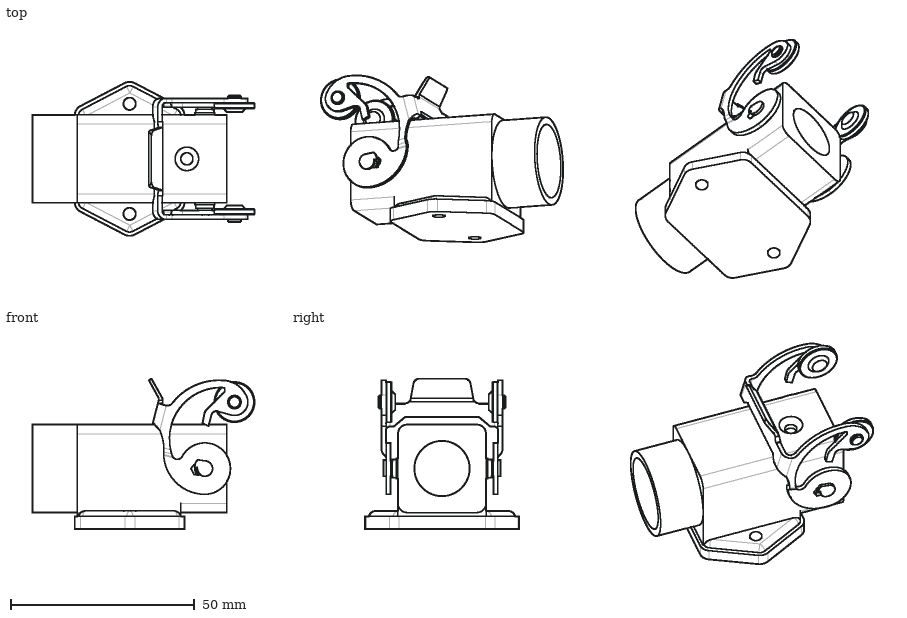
import cadquery as cq
import math


housing_width = 24.0
housing_left_x = -14.2
housing_right_x = 26.5
housing_top_z = 28.52
housing_corner_radius = 2.5
foot_right_x = 14.0
overhang_bottom_z = housing_top_z - housing_width

entry_z = housing_top_z - housing_width / 2
tube_left_x = -26.5
tube_bore_radius = 10.0
tube_bore_depth = 10.7
cable_hole_radius = 7.5

screw_x = 15.6
screw_radius = 1.65
screw_depth = 3.0
countersink_radius = 3.2

flange_half_length = 15.0
flange_half_width = 21.0
flange_corner_radius = 3.0
flange_slope = math.radians(27.5)
flange_height = 3.5
flange_hole_y = 15.0
flange_hole_radius = 1.65
rim_top_z = 5.0
rim_inset = 1.0
rim_round = 1.99
rim_bottom_z = 2.0

sheet = 1.25
lever_outer_y = 16.5
lever_middle_y = lever_outer_y - sheet
lever_inner_y = lever_middle_y - sheet
lever_tilt = math.radians(14.5)

pivot = (20.5, 16.5)
disc_radius = 7.0
cam_radius = 11.25
throat_radius = 1.5

arm_outer_centre = (24.4, 24.4)
arm_outer_radius = 16.2
arm_inner_centre = (24.85, 24.55)
arm_inner_radius = 14.0
finger_notch_radius = 0.45
finger_knee_radius = 2.5
finger_root_radius = 1.4

strip_height = 5.43
strip_depth = 2.4
strip_bend_radius = 2.3
strip_top = (7.68, 34.29)
strip_cut_drop = 1.6
strip_cut_z = 30.5
strip_cut_half_width = 10.1
strip_cut_slope = 1.18

tab_foot_half_width = 10.1
tab_root_half_width = 8.65
tab_root_height = 0.8
tab_top_half_width = 7.55
tab_corner_radius = 1.7
tab_overlap = 0.8
tab_bend_front = (7.87, 35.75)
tab_bend_back = (9.0, 35.6)
tab_tip_front = (5.25, 40.5)
tab_tip_back = (5.95, 41.02)

joggle_top_z = 21.55
joggle_right_x = 12.5
bend_angle = math.radians(45)
bend_inner_radius = 0.3
bend_outer_radius = bend_inner_radius + sheet

boss_radius = 2.75
boss_y = 12.5
collar_radius = 2.5
collar_y = 13.5
pin_radius = 2.1
pin_neck_radius = 2.0
pin_head_y = 16.0
pin_embed = 1.0

keyhole_reach = 3.8
keyhole_point_length = 0.9
keyhole_top = 1.1
keyhole_bottom = 1.7
lug_left = 2.8
lug_middle_left = 2.6
lug_middle_top = 1.45
lug_corner_left = 1.9
lug_bottom = 0.35
lug_top = 2.4

roller_centre = (28.57, 34.62)
roller_radius = 5.5
roller_inner_y = 13.65
roller_chamfer = 0.25
arm_tip_radius = 3.65
rivet_radius = 1.8
rivet_head_y = 17.3
rivet_chamfer = 0.35
rivet_cone_base_radius = 3.0
rivet_cone_tip_radius = 2.1
rivet_cone_y = 12.7


def polar(centre, radius, angle):
    """Point on a circle at an angle in radians."""
    return (centre[0] + radius * math.cos(angle), centre[1] + radius * math.sin(angle))


def direction(start, end):
    """Angle of the line from start to end."""
    return math.atan2(end[1] - start[1], end[0] - start[0])


def corner_arc(previous, corner, following, radius):
    """Start, middle and end of the arc that rounds a corner."""
    back = direction(corner, previous)
    ahead = direction(corner, following)
    half = abs(math.remainder(ahead - back, 2 * math.pi)) / 2
    setback = radius / math.tan(half)
    bisector = back + math.remainder(ahead - back, 2 * math.pi) / 2
    middle = polar(corner, radius / math.sin(half) - radius, bisector)
    return polar(corner, setback, back), middle, polar(corner, setback, ahead)


def add_corner(path, previous, corner, following, radius):
    """Extend the path to the rounded corner and then its arc."""
    start, middle, end = corner_arc(previous, corner, following, radius)
    return path.lineTo(*start).threePointArc(middle, end)


def rounded_polygon(workplane, corners):
    """Closed outline from (point, radius) pairs; radius 0 leaves a corner sharp."""
    points = [point for point, _ in corners]
    path = workplane.moveTo(*points[0])
    for i in range(1, len(corners)):
        point, radius = corners[i]
        if radius:
            following = points[(i + 1) % len(points)]
            path = add_corner(path, points[i - 1], point, following, radius)
        else:
            path = path.lineTo(*point)
    return path.close()


def xz_plane(y):
    """Work plane at a given Y, with X to the right, Z up and extrusion towards +Y."""
    return cq.Workplane(cq.Plane(origin=(0, y, 0), xDir=(1, 0, 0), normal=(0, -1, 0)))


def plate(outline, y_start, y_end):
    """Extrude an XZ outline function between two Y positions."""
    return outline(xz_plane(y_start)).extrude(y_start - y_end)


def disc(centre, radius, y_start, y_end):
    """Cylinder along Y around a point in XZ."""
    return xz_plane(y_start).center(*centre).circle(radius).extrude(y_start - y_end)


def box(x_range, y_range, z_range):
    """Box between the given limits."""
    ranges = (x_range, y_range, z_range)
    size = [high - low for low, high in ranges]
    corner = tuple(low for low, _ in ranges)
    return cq.Workplane("XY").box(*size, centered=False).translate(corner)


def hexagon(inset):
    """Sharp flange hexagon, offset inwards by inset."""
    apex_trim = flange_corner_radius * (1 / math.cos(flange_slope) - 1)
    apex_y = flange_half_width + apex_trim - inset / math.cos(flange_slope)
    side_x = flange_half_length - inset
    side_y = apex_y - side_x * math.tan(flange_slope)
    return [
        (0, apex_y),
        (side_x, side_y),
        (side_x, -side_y),
        (0, -apex_y),
        (-side_x, -side_y),
        (-side_x, side_y),
    ]


def make_flange():
    base = cq.Workplane("XY").polyline(hexagon(0)).close().extrude(flange_height)
    base = base.edges("|Z").fillet(flange_corner_radius)
    rim = cq.Workplane("XY").workplane(offset=rim_bottom_z).polyline(hexagon(rim_inset)).close()
    rim = rim.extrude(rim_top_z - rim_bottom_z).edges("|Z").fillet(flange_corner_radius - rim_inset)
    rim = rim.faces(">Z").edges().fillet(rim_round)
    return base.union(rim)


def make_housing():
    half = housing_width / 2
    shell = box((housing_left_x, housing_right_x), (-half, half), (overhang_bottom_z, housing_top_z))
    shell = shell.edges("|X").fillet(housing_corner_radius)
    foot = box((housing_left_x, foot_right_x), (-half, half), (0, entry_z))
    tube = cq.Workplane("YZ").workplane(offset=tube_left_x).center(0, entry_z).circle(half)
    tube = tube.extrude(housing_left_x - tube_left_x)
    body = shell.union(foot).union(tube).union(make_flange())

    cable_axis = cq.Workplane("YZ").workplane(offset=tube_left_x).center(0, entry_z)
    body = body.cut(cable_axis.circle(tube_bore_radius).extrude(tube_bore_depth))
    body = body.cut(cable_axis.circle(cable_hole_radius).extrude(housing_right_x - tube_left_x))

    roof = cq.Workplane("XY").workplane(offset=housing_top_z)
    body = body.cut(roof.center(screw_x, 0).circle(screw_radius).extrude(-screw_depth))
    cone = cq.Solid.makeCone(countersink_radius, screw_radius, countersink_radius - screw_radius,
                             pnt=cq.Vector(screw_x, 0, housing_top_z), dir=cq.Vector(0, 0, -1))
    body = body.cut(cq.Workplane(cone))
    for side in (1, -1):
        hole = cq.Workplane("XY").center(0, side * flange_hole_y).circle(flange_hole_radius)
        body = body.cut(hole.extrude(rim_top_z))
    return body


def strip_point(across, down):
    """XZ point in the tilted cross strip, measured from its outer top edge."""
    x = strip_top[0] + across * math.cos(lever_tilt) - down * math.sin(lever_tilt)
    z = strip_top[1] - across * math.sin(lever_tilt) - down * math.cos(lever_tilt)
    return (x, z)


strip_bend_top = strip_point(strip_depth, 0)
strip_bend_bottom = strip_point(strip_depth, strip_height + strip_cut_drop)


def strip_side(workplane):
    """Side outline of the cross strip up to its bend lines."""
    outer_bottom = strip_point(0, strip_height)
    return workplane.polyline([strip_top, strip_bend_top, strip_bend_bottom, outer_bottom]).close()


def arm_outline(workplane):
    """Side outline of one lever cheek: pivot disc, neck, curved arm, tip and finger."""
    cam_centre = (pivot[0], pivot[1] - disc_radius + cam_radius)
    neck_left = polar(cam_centre, cam_radius, math.radians(173))
    cam_middle = polar(cam_centre, cam_radius, math.radians(225))
    disc_bottom = polar(pivot, disc_radius, math.radians(270))

    to_throat = disc_radius + throat_radius
    arm_to_throat = arm_inner_radius - throat_radius
    span = math.dist(pivot, arm_inner_centre)
    cosine = (to_throat**2 + span**2 - arm_to_throat**2) / (2 * to_throat * span)
    throat_direction = direction(pivot, arm_inner_centre) + math.acos(cosine)
    throat_centre = polar(pivot, to_throat, throat_direction)
    disc_end = polar(pivot, disc_radius, throat_direction)
    arm_angle = direction(arm_inner_centre, throat_centre)
    inner_start = polar(arm_inner_centre, arm_inner_radius, arm_angle)
    inner_middle = polar(arm_inner_centre, arm_inner_radius, math.radians(145))
    inner_end = polar(arm_inner_centre, arm_inner_radius, math.radians(90))
    throat_middle = polar(throat_centre, throat_radius, math.radians(-90))

    hollow_middle = (10.75, 33.75)
    neck_middle = (8.85, 25.2)

    notch_bottom = (25.95, 37.49)
    notch_top = (notch_bottom[0], inner_end[1])
    finger_knee = (20.47, 32.12)
    finger_end_left = (19.83, 28.88)
    finger_end_right = (21.53, 28.07)
    finger_root = (22.66, 32.48)

    tip_bottom = polar(roller_centre, arm_tip_radius, math.radians(255))
    tip_middle = polar(roller_centre, arm_tip_radius, math.radians(-30))
    tip_start = polar(roller_centre, arm_tip_radius, math.radians(34))
    shoulder_middle = (29.5, 39.15)
    outer_end = polar(arm_outer_centre, arm_outer_radius, math.radians(85.5))
    outer_middle = polar(arm_outer_centre, arm_outer_radius, math.radians(115))
    outer_start = polar(arm_outer_centre, arm_outer_radius, math.radians(143))

    path = workplane.moveTo(*disc_bottom)
    path = path.threePointArc(polar(pivot, disc_radius, 0), disc_end)
    path = path.threePointArc(throat_middle, inner_start)
    path = path.threePointArc(inner_middle, inner_end)
    path = add_corner(path, inner_end, notch_top, notch_bottom, finger_notch_radius)
    path = path.lineTo(*notch_bottom)
    path = add_corner(path, notch_bottom, finger_knee, finger_end_left, finger_knee_radius)
    path = path.lineTo(*finger_end_left).lineTo(*finger_end_right)
    path = add_corner(path, finger_end_right, finger_root, tip_bottom, finger_root_radius)
    path = path.lineTo(*tip_bottom).threePointArc(tip_middle, tip_start)
    path = path.threePointArc(shoulder_middle, outer_end).threePointArc(outer_middle, outer_start)
    path = path.threePointArc(hollow_middle, strip_bend_top).lineTo(*strip_bend_bottom)
    path = path.threePointArc(neck_middle, neck_left).threePointArc(cam_middle, disc_bottom)
    return path.close()


def make_sheet_layer():
    """Space taken by the cheek sheet: outer layer above, joggle at the neck, inner layer below."""
    low_z = 0.0
    split_z = 25.0
    high_z = 50.0
    left_x = 5.0
    right_x = 40.0
    neck_x = pivot[0] - cam_radius
    rise = (neck_x - left_x) * math.tan(lever_tilt)
    step_top = joggle_top_z + rise
    step_bottom = step_top - sheet
    shift = sheet * math.tan(bend_angle / 2)
    section = rounded_polygon(
        cq.Workplane("YZ").workplane(offset=left_x),
        [
            ((lever_outer_y, high_z), 0),
            ((lever_outer_y, step_top), bend_outer_radius),
            ((lever_middle_y, step_bottom), bend_inner_radius),
            ((lever_middle_y, low_z), 0),
            ((lever_inner_y, low_z), 0),
            ((lever_inner_y, step_bottom + shift), bend_outer_radius),
            ((lever_middle_y, step_top + shift), bend_inner_radius),
            ((lever_middle_y, high_z), 0),
        ],
    )
    fall = (joggle_right_x - left_x) * math.tan(lever_tilt)
    spine = cq.Workplane("XZ").moveTo(left_x, step_top).lineTo(joggle_right_x, step_top - fall)
    layer = section.sweep(spine)
    outer = box((joggle_right_x, right_x), (lever_middle_y, lever_outer_y), (split_z, high_z - fall))
    inner = box((joggle_right_x, right_x), (lever_inner_y, lever_middle_y), (low_z, split_z))
    return layer.union(outer).union(inner)


def keyhole(workplane):
    """Pointed slot in the disc, reaching to the left of the pin."""
    x, z = pivot
    point_x = x - keyhole_reach
    shoulder_x = point_x + keyhole_point_length
    return workplane.polyline([
        (point_x, z),
        (shoulder_x, z + keyhole_top),
        (x, z + keyhole_top),
        (x, z - keyhole_bottom),
        (shoulder_x, z - keyhole_bottom),
    ]).close()


def pin_lug(workplane):
    """Locking lug on the upper left of the pin head."""
    x, z = pivot
    path = workplane.moveTo(x, z + lug_bottom).lineTo(x - lug_left, z + lug_bottom)
    arc_middle = (x - lug_middle_left, z + lug_middle_top)
    path = path.threePointArc(arc_middle, (x - lug_corner_left, z + lug_top))
    return path.lineTo(x, z + pin_radius).close()


def make_cheek():
    """Cheek on the +Y side with its pivot pin, roller and rivet."""
    cheek = plate(arm_outline, lever_inner_y, lever_outer_y).intersect(make_sheet_layer())
    cheek = cheek.cut(plate(keyhole, lever_inner_y, lever_middle_y))

    inside_y = housing_width / 2 - pin_embed
    cheek = cheek.union(disc(pivot, boss_radius, inside_y, boss_y))
    cheek = cheek.union(disc(pivot, collar_radius, inside_y, collar_y))
    cheek = cheek.union(disc(pivot, pin_neck_radius, inside_y, lever_middle_y))
    cheek = cheek.union(disc(pivot, pin_radius, lever_middle_y, pin_head_y))
    cheek = cheek.union(plate(pin_lug, lever_middle_y, pin_head_y))

    roller = disc(roller_centre, roller_radius, roller_inner_y, lever_middle_y)
    roller = roller.edges().chamfer(roller_chamfer)
    rivet = disc(roller_centre, rivet_radius, roller_inner_y, rivet_head_y)
    rivet = rivet.faces(">Y").chamfer(rivet_chamfer)
    cone = cq.Solid.makeCone(rivet_cone_base_radius, rivet_cone_tip_radius, roller_inner_y - rivet_cone_y,
                             pnt=cq.Vector(roller_centre[0], roller_inner_y, roller_centre[1]),
                             dir=cq.Vector(0, -1, 0))
    return cheek.union(roller).union(rivet).union(cq.Workplane(cone))


def make_strip():
    """Tilted cross strip whose two bends run into the cheeks."""
    axis = cq.Vector(math.sin(lever_tilt), 0, math.cos(lever_tilt))
    across = cq.Vector(math.cos(lever_tilt), 0, -math.sin(lever_tilt))
    top = cq.Workplane(cq.Plane(origin=(strip_top[0], 0, strip_top[1]), xDir=across, normal=axis))
    outer_y = lever_outer_y
    inner_y = lever_middle_y
    inner_radius = strip_bend_radius - sheet
    strip = rounded_polygon(
        top,
        [
            ((strip_depth, outer_y), 0),
            ((0, outer_y), strip_bend_radius),
            ((0, -outer_y), strip_bend_radius),
            ((strip_depth, -outer_y), 0),
            ((strip_depth, -inner_y), 0),
            ((sheet, -inner_y), inner_radius),
            ((sheet, inner_y), inner_radius),
            ((strip_depth, inner_y), 0),
        ],
    ).extrude(-strip_height - strip_cut_drop)
    strip = strip.intersect(plate(strip_side, -outer_y, outer_y))

    clearance_depth = 5.0
    foot_half_width = strip_cut_half_width + clearance_depth * strip_cut_slope
    foot_z = strip_cut_z - clearance_depth
    clearance = cq.Workplane("YZ").polyline([
        (strip_cut_half_width, strip_cut_z),
        (foot_half_width, foot_z),
        (-foot_half_width, foot_z),
        (-strip_cut_half_width, strip_cut_z),
    ]).close().extrude(joggle_right_x)
    return strip.cut(clearance)


def tab_side(workplane):
    """Side outline of the thumb tab: it continues the strip, turns upright and then leans back."""
    return workplane.polyline([
        strip_point(0, tab_overlap),
        strip_point(0, -tab_root_height),
        tab_bend_front,
        tab_tip_front,
        tab_tip_back,
        tab_bend_back,
        strip_point(sheet, -tab_root_height),
        strip_point(sheet, tab_overlap),
    ]).close()


def make_tab():
    foot_z = strip_top[1]
    buried_z = foot_z - 2 * tab_overlap
    root_z = foot_z + tab_root_height
    root_run = tab_foot_half_width - tab_root_half_width
    root_radius = (root_run**2 + tab_root_height**2) / (2 * tab_root_height)
    root_angle = math.asin(root_run / root_radius)

    path = cq.Workplane("YZ").moveTo(tab_foot_half_width, buried_z).lineTo(tab_foot_half_width, foot_z)
    root_centre = (tab_foot_half_width, foot_z + root_radius)
    root_middle = polar(root_centre, root_radius, math.radians(270) - root_angle / 2)
    root = (tab_root_half_width, root_z)
    top = (tab_top_half_width, tab_tip_back[1])
    path = path.threePointArc(root_middle, root)
    path = add_corner(path, root, top, (0, top[1]), tab_corner_radius)
    path = path.lineTo(0, top[1]).lineTo(0, buried_z).close()
    half = path.extrude(joggle_right_x)
    face = half.union(half.mirror("XZ"))
    return plate(tab_side, -tab_foot_half_width, tab_foot_half_width).intersect(face)


cheek = make_cheek()
lever = make_strip().union(make_tab()).union(cheek).union(cheek.mirror("XZ"))
result = make_housing().union(lever)